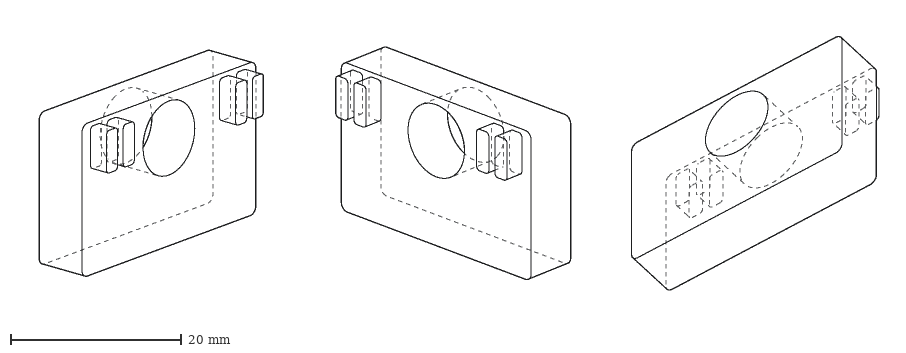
import cadquery as cq

plate_length = 31.0
plate_height = 19.0
plate_thickness = 6.7
plate_corner_radius = 1.0

hole_diameter = 9.2
hole_centre_below_top = 5.6

peg_width = 1.98
peg_height = 5.3
peg_length = 2.5
peg_edge_radius = 0.5
peg_below_top = 0.6
inner_peg_offset = 10.0
outer_peg_offset = 13.0

plate_top = plate_height / 2
peg_centre_z = plate_top - peg_below_top - peg_height / 2
peg_offsets = [inner_peg_offset, outer_peg_offset]


def rounded_bar(length, height, depth, edge_radius):
    """Bar from X = 0 to X = depth, its four edges along X rounded."""
    bar = cq.Workplane("YZ").rect(length, height).extrude(depth)
    return bar.edges("|X").fillet(edge_radius)


def make_plate():
    plate = rounded_bar(plate_length, plate_height, plate_thickness, plate_corner_radius)
    hole = (
        cq.Workplane("YZ")
        .center(0, plate_top - hole_centre_below_top)
        .circle(hole_diameter / 2)
        .extrude(plate_thickness)
    )
    return plate.cut(hole)


def make_peg(centre_y):
    """Peg rooted inside the plate so that the two join as one solid."""
    root_depth = plate_thickness / 2
    peg = rounded_bar(peg_width, peg_height, root_depth + peg_length, peg_edge_radius)
    return peg.translate((plate_thickness - root_depth, centre_y, peg_centre_z))


result = make_plate()
for offset in peg_offsets:
    for side in (-1, 1):
        result = result.union(make_peg(side * offset))